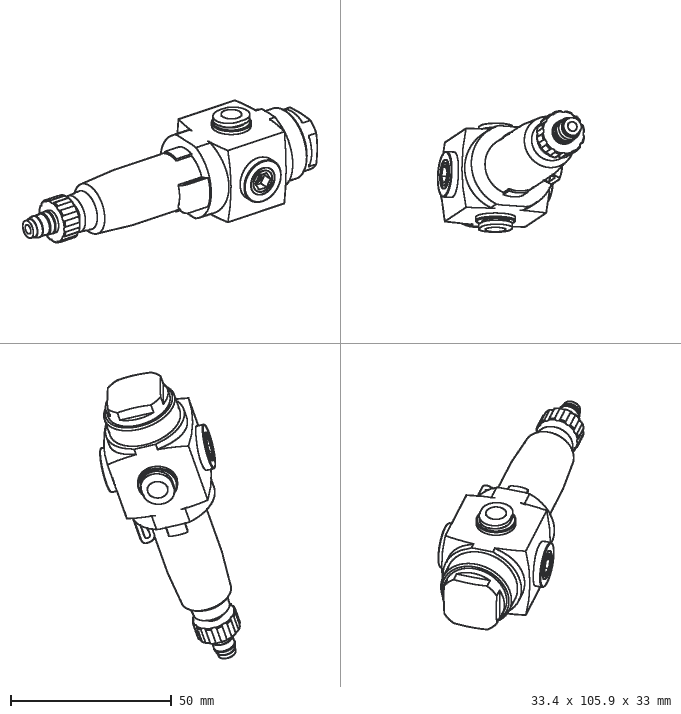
import cadquery as cq
import math


TOTAL_LENGTH = 105.9

CAP_END_Y = 27.6
CAP_CONE_Y = 26.5
CAP_FLAT_Y = 23.5
CAP_COLLAR_Y = 21.2
CAP_BEVEL_Y = 20.5
HOUSING_BACK_Y = 14.3
BLOCK_END_Y = 12.3
BLOCK_CORNER_Y = 10.6
HOUSING_FRONT_Y = -17.6
SNAP_TAB_Y = -23.4
BOWL_TAPER_Y = -41.8
BOWL_ROUND_Y = -54.6
BOWL_EDGE_Y = -55.2
BOWL_SHOULDER_Y = -55.9
BOWL_NECK_Y = -56.1
NECK_RIM_Y = -56.7
BOWL_FRONT_Y = -60.4
WHEEL_BACK_Y = -63.1
WHEEL_FRONT_Y = -69.1
HOSE_END_Y = CAP_END_Y - TOTAL_LENGTH

BLOCK_HALF_HEIGHT = 12.6
BLOCK_EDGE_HALF_WIDTH = 13.1
BLOCK_MID_HALF_WIDTH = 14.4
BACK_RING_RADIUS = 12.8
BACK_TAB_HALF_WIDTH = 3.5
BACK_TAB_BASE_HALF_WIDTH = 4.7
FRONT_RING_RADIUS = 13.5
FRONT_FLAT_HALF_WIDTH = 4.2
FRONT_BEVEL_HALF_WIDTH = 5.4

CAP_RING_RADIUS = 11.5
CAP_BEVEL = 0.6
CAP_RADIUS = 10.2
CAP_FLAT_DISTANCE = 8.6
CAP_END_RADIUS = 5.3

PORT_REACH = 16.7
PORT_RADIUS = 7.1
PORT_CHAMFER = 0.2
PORT_GROOVE_OUTER_RADIUS = 4.5
PORT_GROOVE_INNER_RADIUS = 3.6
PORT_GROOVE_DEPTH = 0.2
SOCKET_ACROSS_FLATS = 5.0
SOCKET_DEPTH = 3.2
SOCKET_PILOT_DIAMETER = 3.0
SOCKET_PILOT_DEPTH = 1.6
SOCKET_PILOT_COUNTERSINK = 0.3

FLANGE_DIAMETER = 12.4
FLANGE_TOP = 14.0
FLANGE_CHAMFER = 0.3
RELEASE_NECK_RADIUS = 4.1
RELEASE_NECK_SHIFT = 0.4
RELEASE_HEAD_RADIUS = 5.0
RELEASE_HEAD_SHIFT = 1.0
RELEASE_HEAD_BOTTOM = 14.8
FITTING_REACH = 16.5
RELEASE_RIM_DROP = 0.4
TUBE_BORE_DIAMETER = 6.4
TUBE_BORE_DEPTH = 9.5

BOWL_RADIUS = 9.1
BOWL_TAPER_RADIUS = 8.2
BOWL_EDGE_RADIUS = 7.7
BOWL_NECK_RADIUS = 6.2
BOWL_FRONT_RADIUS = 5.9
BOWL_SHOULDER_RADIUS = 6.8
SNAP_TAB_RADIUS = 9.7
SNAP_TAB_WIDTH = 6.1

LATCH_HALF_ANGLE = 22.0
LATCH_RADIUS = 13.5
LATCH_SLOT_INNER_RADIUS = 10.4
LATCH_SLOT_OUTER_RADIUS = 12.2
LATCH_BACK_Y = -18.1
LATCH_FRONT_Y = -27.4
LATCH_SLOT_BACK_Y = -19.0
LATCH_SLOT_FRONT_Y = -25.7
LATCH_CORNER = 1.8
LATCH_ROOT_DEPTH = 0.6

BARB_ROOT_Y = -70.2
BARB_STEP_Y = -72.1
BARB_RIDGE_Y = -75.2
BARB_TIP_Y = -76.7
BARB_STEP_LENGTH = 0.3
BARB_ROOT_RADIUS = 3.7
BARB_SLEEVE_RADIUS = 3.6
BARB_WAIST_RADIUS = 3.4
BARB_RIDGE_RADIUS = 3.5
BARB_TIP_RADIUS = 3.1
HOSE_END_RADIUS = 2.9
STEM_DIAMETER = 5.8
WHEEL_RADIUS = 7.0
WHEEL_CHAMFER = 0.3
FLUTE_COUNT = 12
FLUTE_RADIUS = 1.1
FLUTE_OFFSET = 7.5
DRAIN_BORE_DIAMETER = 3.0
DRAIN_BORE_DEPTH = 10.6


def turned(profile):
    """Solid of revolution about Y; profile lists (radius, y) from the first end to the last."""
    outline = [(0, profile[0][1]), *profile, (0, profile[-1][1])]
    return cq.Workplane("XY").polyline(outline).close().revolve(360, (0, 0, 0), (0, 1, 0))


def cylinder_y(radius, y_start, y_end):
    return turned([(radius, y_start), (radius, y_end)])


def both_sides(feature, plane):
    """The feature together with its mirror image."""
    return feature.union(feature.mirror(plane))


def make_block():
    """Central block with bowed sides and bowed ends."""
    end_outline = (
        cq.Workplane("XY")
        .moveTo(-BLOCK_MID_HALF_WIDTH, -BLOCK_CORNER_Y)
        .threePointArc((0, -BLOCK_END_Y), (BLOCK_MID_HALF_WIDTH, -BLOCK_CORNER_Y))
        .lineTo(BLOCK_MID_HALF_WIDTH, BLOCK_CORNER_Y)
        .threePointArc((0, BLOCK_END_Y), (-BLOCK_MID_HALF_WIDTH, BLOCK_CORNER_Y))
        .close()
        .extrude(BLOCK_HALF_HEIGHT, both=True)
    )
    side_outline = (
        cq.Workplane("XZ")
        .moveTo(-BLOCK_EDGE_HALF_WIDTH, -BLOCK_HALF_HEIGHT)
        .lineTo(BLOCK_EDGE_HALF_WIDTH, -BLOCK_HALF_HEIGHT)
        .threePointArc((BLOCK_MID_HALF_WIDTH, 0), (BLOCK_EDGE_HALF_WIDTH, BLOCK_HALF_HEIGHT))
        .lineTo(-BLOCK_EDGE_HALF_WIDTH, BLOCK_HALF_HEIGHT)
        .threePointArc((-BLOCK_MID_HALF_WIDTH, 0), (-BLOCK_EDGE_HALF_WIDTH, -BLOCK_HALF_HEIGHT))
        .close()
        .extrude(BLOCK_END_Y, both=True)
    )
    return end_outline.intersect(side_outline)


def bevelled_bar(flat_half_width, base_half_width, ring_radius, y_start, y_end):
    """Bar as high as the block, its corners bevelled down to meet a round ring."""
    base_height = math.sqrt(ring_radius**2 - base_half_width**2)
    half_outline = [
        (-base_half_width, 0),
        (-base_half_width, base_height),
        (-flat_half_width, BLOCK_HALF_HEIGHT),
        (flat_half_width, BLOCK_HALF_HEIGHT),
        (base_half_width, base_height),
        (base_half_width, 0),
    ]
    bar = cq.Workplane("XZ", origin=(0, y_end, 0)).polyline(half_outline).close().extrude(y_end - y_start)
    return both_sides(bar, "XY")


def make_back_ring():
    """Round ring with a raised flat tab above and below."""
    ring = cylinder_y(BACK_RING_RADIUS, 0, HOUSING_BACK_Y)
    height_limit = cq.Workplane("XY").box(4 * BACK_RING_RADIUS, 4 * HOUSING_BACK_Y, 2 * BLOCK_HALF_HEIGHT)
    tabs = bevelled_bar(
        BACK_TAB_HALF_WIDTH, BACK_TAB_BASE_HALF_WIDTH, BACK_RING_RADIUS, 0, HOUSING_BACK_Y
    )
    return ring.intersect(height_limit).union(tabs)


def make_front_ring():
    """Round ring flattened above and below, with bevels between flat and round."""
    ring = cylinder_y(FRONT_RING_RADIUS, HOUSING_FRONT_Y, 0)
    base_height = math.sqrt(FRONT_RING_RADIUS**2 - FRONT_BEVEL_HALF_WIDTH**2)
    height_limit = cq.Workplane("XY").box(4 * FRONT_RING_RADIUS, -4 * HOUSING_FRONT_Y, 2 * base_height)
    bars = bevelled_bar(
        FRONT_FLAT_HALF_WIDTH, FRONT_BEVEL_HALF_WIDTH, FRONT_RING_RADIUS, HOUSING_FRONT_Y, 0
    )
    return ring.intersect(height_limit).union(bars)


def make_cap():
    """Stepped round cap with four wrench flats and a shallow conical end."""
    ring = turned([
        (CAP_RING_RADIUS, HOUSING_BACK_Y),
        (CAP_RING_RADIUS, CAP_BEVEL_Y),
        (CAP_RING_RADIUS - CAP_BEVEL, CAP_COLLAR_Y),
    ])
    collar = turned([
        (CAP_RADIUS, CAP_COLLAR_Y),
        (CAP_RADIUS, CAP_CONE_Y),
        (CAP_END_RADIUS, CAP_END_Y),
    ])
    flat_length = CAP_END_Y - CAP_FLAT_Y
    flat_middle = (0, CAP_FLAT_Y + flat_length / 2, 0)
    outside = cq.Workplane("XY", origin=flat_middle).box(3 * CAP_RADIUS, flat_length, 3 * CAP_RADIUS)
    square = cq.Workplane("XY", origin=flat_middle).box(
        2 * CAP_FLAT_DISTANCE, flat_length, 2 * CAP_FLAT_DISTANCE
    )
    return ring.union(collar.cut(outside.cut(square)))


def make_ports():
    """Round boss on each side with a ring groove in its face."""
    boss = cq.Workplane("YZ").circle(PORT_RADIUS).extrude(PORT_REACH).faces(">X").chamfer(PORT_CHAMFER)
    groove = (
        cq.Workplane("YZ", origin=(PORT_REACH - PORT_GROOVE_DEPTH, 0, 0))
        .circle(PORT_GROOVE_OUTER_RADIUS)
        .circle(PORT_GROOVE_INNER_RADIUS)
        .extrude(PORT_GROOVE_DEPTH)
    )
    return both_sides(boss.cut(groove), "YZ")


def make_port_sockets():
    """Hexagon socket with a small countersunk pilot hole, one for each port."""
    face = cq.Workplane("YZ", origin=(PORT_REACH, 0, 0))
    hexagon_diameter = SOCKET_ACROSS_FLATS / math.cos(math.pi / 6)
    hexagon = face.polygon(6, hexagon_diameter).extrude(-SOCKET_DEPTH)
    pilot = face.circle(SOCKET_PILOT_DIAMETER / 2).extrude(-SOCKET_DEPTH - SOCKET_PILOT_DEPTH)
    countersink = (
        face.workplane(offset=-SOCKET_DEPTH)
        .circle(SOCKET_PILOT_DIAMETER / 2 + SOCKET_PILOT_COUNTERSINK)
        .workplane(offset=-SOCKET_PILOT_COUNTERSINK)
        .circle(SOCKET_PILOT_DIAMETER / 2)
        .loft()
    )
    return both_sides(hexagon.union(pilot).union(countersink), "YZ")


def oval(radius, shift, z_start, z_end):
    """Oval prism made of two half circles set apart along Y."""
    return (
        cq.Workplane("XY", origin=(0, 0, z_start))
        .slot2D(2 * (radius + shift), 2 * radius, 90)
        .extrude(z_end - z_start)
    )


def make_fittings():
    """Push-in fitting above and below: flange, then an oval release ring with a sloping top."""
    flange = (
        cq.Workplane("XY")
        .circle(FLANGE_DIAMETER / 2)
        .extrude(FLANGE_TOP)
        .faces(">Z")
        .chamfer(FLANGE_CHAMFER)
    )
    neck = oval(RELEASE_NECK_RADIUS, RELEASE_NECK_SHIFT, FLANGE_TOP, RELEASE_HEAD_BOTTOM)
    head = oval(RELEASE_HEAD_RADIUS, RELEASE_HEAD_SHIFT, RELEASE_HEAD_BOTTOM, FITTING_REACH)
    rim_radius = RELEASE_HEAD_RADIUS + RELEASE_HEAD_SHIFT
    slope = (
        cq.Workplane("XZ")
        .polyline([
            (0, 0),
            (rim_radius, 0),
            (rim_radius, FITTING_REACH - RELEASE_RIM_DROP),
            (TUBE_BORE_DIAMETER / 2, FITTING_REACH),
            (0, FITTING_REACH),
        ])
        .close()
        .revolve(360, (0, 0, 0), (0, 1, 0))
    )
    return both_sides(flange.union(neck).union(head.intersect(slope)), "XY")


def make_tube_bores():
    bore = (
        cq.Workplane("XY", origin=(0, 0, FITTING_REACH))
        .circle(TUBE_BORE_DIAMETER / 2)
        .extrude(-TUBE_BORE_DEPTH)
    )
    return both_sides(bore, "XY")


def make_housing():
    solid = make_block()
    for feature in (make_back_ring(), make_front_ring(), make_cap(), make_ports(), make_fittings()):
        solid = solid.union(feature)
    return solid.cut(make_port_sockets()).cut(make_tube_bores())


def make_snap_tabs():
    """Curved tab above and below, standing on the bowl wall next to the housing."""
    disc = cylinder_y(SNAP_TAB_RADIUS, SNAP_TAB_Y, HOUSING_FRONT_Y)
    strip = cq.Workplane("XY", origin=(0, HOUSING_FRONT_Y, 0)).box(
        SNAP_TAB_WIDTH, 2 * (HOUSING_FRONT_Y - SNAP_TAB_Y), 3 * SNAP_TAB_RADIUS
    )
    return disc.intersect(strip)


def swept_sector(outline):
    """Closed outline of radius against y, turned about Y by the latch angle to each side of +X."""
    turn = outline.revolve(2 * LATCH_HALF_ANGLE, (0, 0, 0), (0, 1, 0))
    return turn.rotate((0, 0, 0), (0, 1, 0), -LATCH_HALF_ANGLE)


def make_latch():
    """Finger loop on the +X side, curved around the bowl, with a round-ended slot through it."""
    root_radius = BOWL_RADIUS - LATCH_ROOT_DEPTH
    corner_y = LATCH_FRONT_Y + LATCH_CORNER
    corner_reach = LATCH_CORNER * math.sqrt(0.5)
    outer_centre = LATCH_RADIUS - LATCH_CORNER
    inner_centre = BOWL_RADIUS + LATCH_CORNER
    loop = swept_sector(
        cq.Workplane("XY")
        .moveTo(root_radius, HOUSING_FRONT_Y)
        .lineTo(LATCH_SLOT_INNER_RADIUS, HOUSING_FRONT_Y)
        .lineTo(LATCH_SLOT_INNER_RADIUS, LATCH_BACK_Y)
        .lineTo(LATCH_RADIUS, LATCH_BACK_Y)
        .lineTo(LATCH_RADIUS, corner_y)
        .threePointArc((outer_centre + corner_reach, corner_y - corner_reach), (outer_centre, LATCH_FRONT_Y))
        .lineTo(inner_centre, LATCH_FRONT_Y)
        .threePointArc((inner_centre - corner_reach, corner_y - corner_reach), (BOWL_RADIUS, corner_y))
        .lineTo(root_radius, corner_y)
        .close()
    )
    slot_middle = (LATCH_SLOT_INNER_RADIUS + LATCH_SLOT_OUTER_RADIUS) / 2
    slot_end_radius = (LATCH_SLOT_OUTER_RADIUS - LATCH_SLOT_INNER_RADIUS) / 2
    slot_end_y = LATCH_SLOT_FRONT_Y + slot_end_radius
    slot = swept_sector(
        cq.Workplane("XY")
        .moveTo(LATCH_SLOT_INNER_RADIUS, LATCH_SLOT_BACK_Y)
        .lineTo(LATCH_SLOT_OUTER_RADIUS, LATCH_SLOT_BACK_Y)
        .lineTo(LATCH_SLOT_OUTER_RADIUS, slot_end_y)
        .threePointArc((slot_middle, LATCH_SLOT_FRONT_Y), (LATCH_SLOT_INNER_RADIUS, slot_end_y))
        .close()
    )
    return loop.cut(slot)


def make_bowl():
    wall = turned([
        (BOWL_RADIUS, HOUSING_FRONT_Y),
        (BOWL_RADIUS, BOWL_TAPER_Y),
        (BOWL_TAPER_RADIUS, BOWL_ROUND_Y),
        (BOWL_EDGE_RADIUS, BOWL_EDGE_Y),
        (BOWL_SHOULDER_RADIUS, BOWL_SHOULDER_Y),
        (BOWL_NECK_RADIUS, BOWL_NECK_Y),
        (BOWL_NECK_RADIUS, NECK_RIM_Y),
        (BOWL_FRONT_RADIUS, BOWL_FRONT_Y),
    ])
    return wall.union(make_snap_tabs()).union(make_latch())


def make_wheel():
    """Hand wheel with round flutes spaced evenly, one of them on each of the X and Z axes."""
    length = WHEEL_BACK_Y - WHEEL_FRONT_Y
    back_face = cq.Workplane("XZ", origin=(0, WHEEL_BACK_Y, 0))
    wheel = back_face.circle(WHEEL_RADIUS).extrude(length).faces("<Y or >Y").chamfer(WHEEL_CHAMFER)
    flutes = back_face.polarArray(FLUTE_OFFSET, 0, 360, FLUTE_COUNT).circle(FLUTE_RADIUS).extrude(length)
    return wheel.cut(flutes)


def make_drain():
    stem = cylinder_y(STEM_DIAMETER / 2, BOWL_FRONT_Y, WHEEL_BACK_Y)
    hose_barb = turned([
        (BARB_ROOT_RADIUS, WHEEL_FRONT_Y),
        (BARB_ROOT_RADIUS, BARB_ROOT_Y),
        (BARB_SLEEVE_RADIUS, BARB_ROOT_Y - BARB_STEP_LENGTH),
        (BARB_SLEEVE_RADIUS, BARB_STEP_Y),
        (BARB_WAIST_RADIUS, BARB_STEP_Y - BARB_STEP_LENGTH),
        (BARB_WAIST_RADIUS, BARB_RIDGE_Y + BARB_STEP_LENGTH),
        (BARB_RIDGE_RADIUS, BARB_RIDGE_Y),
        (BARB_TIP_RADIUS, BARB_TIP_Y),
        (HOSE_END_RADIUS, BARB_TIP_Y),
        (HOSE_END_RADIUS, HOSE_END_Y),
    ])
    bore = cylinder_y(DRAIN_BORE_DIAMETER / 2, HOSE_END_Y, HOSE_END_Y + DRAIN_BORE_DEPTH)
    return stem.union(make_wheel()).union(hose_barb).cut(bore)


housing = make_housing()
bowl = make_bowl()
drain = make_drain()

result = cq.Compound.makeCompound([housing.val(), bowl.val(), drain.val()])